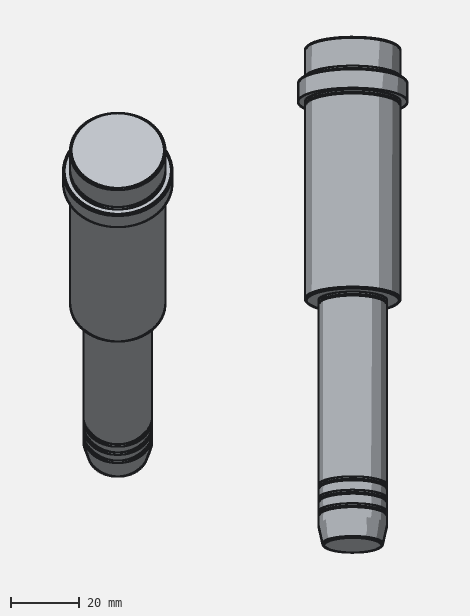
import cadquery as cq

total_height = 150.0
body_diameter = 27.9
collar_diameter = 32.0
shank_diameter = 20.1

head_height = 10.0
collar_height = 6.0
shank_length = 74.0
edge_chamfer = 0.5

tip_height = 6.0
tip_diameter = 17.7
tip_chamfer = 0.5

groove_width = 1.2
groove_depth = 0.5
lowest_groove_center = 9.5
groove_pitch = 4.0
groove_count = 3

collar_top = total_height - head_height
collar_bottom = collar_top - collar_height


def cylinder(diameter, bottom, top):
    """Cylinder on the Z axis between two heights."""
    return cq.Workplane("XY").workplane(offset=bottom).circle(diameter / 2).extrude(top - bottom)


def ring_groove(diameter, center):
    """Cutter for a shallow V-shaped groove around a cylinder."""
    surface = diameter / 2
    outside = surface + groove_depth
    bottom = center - groove_width / 2
    top = center + groove_width / 2
    return (
        cq.Workplane("XZ")
        .moveTo(outside, bottom)
        .lineTo(surface, bottom)
        .lineTo(surface - groove_depth, center)
        .lineTo(surface, top)
        .lineTo(outside, top)
        .close()
        .revolve(360, (0, 0, 0), (0, 1, 0))
    )


tip = (
    cq.Workplane("XZ")
    .lineTo(tip_diameter / 2 - tip_chamfer, 0)
    .lineTo(tip_diameter / 2, tip_chamfer)
    .lineTo(shank_diameter / 2, tip_height)
    .lineTo(0, tip_height)
    .close()
    .revolve(360, (0, 0, 0), (0, 1, 0))
)

shank = cylinder(shank_diameter, tip_height, shank_length)
body = cylinder(body_diameter, shank_length, total_height).faces("<Z or >Z").chamfer(edge_chamfer)
collar = cylinder(collar_diameter, collar_bottom, collar_top).faces(">Z").chamfer(edge_chamfer)
result = tip.union(shank).union(body).union(collar)

for index in range(groove_count):
    result = result.cut(ring_groove(shank_diameter, lowest_groove_center + index * groove_pitch))

result = result.cut(ring_groove(body_diameter, collar_top + groove_width / 2))
result = result.cut(ring_groove(body_diameter, collar_bottom - groove_width / 2))
result = result.cut(ring_groove(shank_diameter, shank_length - groove_width / 2))